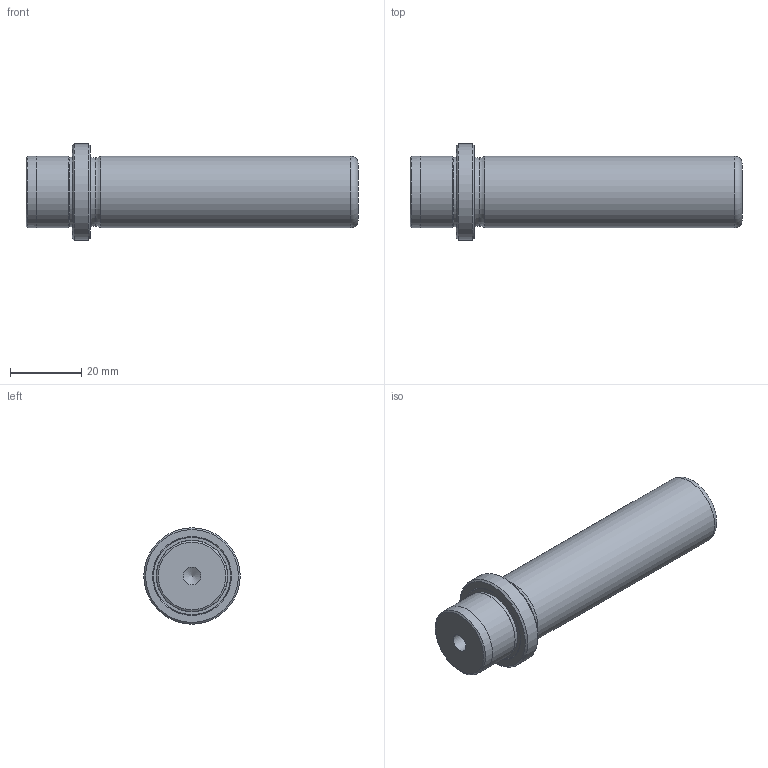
import cadquery as cq
import math

total_length = 93.0
shaft_radius = 10.0
shaft_end_radius = 2.0

lead_length = 3.0
lead_radius = 9.95
lead_chamfer_length = 0.3
lead_chamfer_depth = 0.5

flange_start = 13.0
flange_width = 5.0
flange_radius = 13.5
flange_chamfer = 0.5
flange_end = flange_start + flange_width

relief_depth = 0.3
relief_start = 11.95
relief_ramp = 0.25
relief_face_depth = 0.2
relief_face_ramp = 0.25
relief_outer_radius = 11.05
relief_floor_radius = shaft_radius - relief_depth
relief_bottom = flange_start + relief_face_depth

groove_width = 3.0
groove_depth = 0.45
groove_front_run = 1.4
groove_front_rise = 0.3
groove_back_run = groove_width - groove_front_run
groove_end = flange_end + groove_width
groove_bottom_x = flange_end + groove_front_run
groove_bottom_radius = shaft_radius - groove_depth

hole_radius = 2.5
hole_depth = 16.0
drill_point_angle = 118.0


def height_at_half_run(run, rise):
    """Height, half way along, of an arc that starts parallel to the axis and climbs by rise over run."""
    arc_radius = (run**2 + rise**2) / (2 * rise)
    return arc_radius - math.sqrt(arc_radius**2 - (run / 2) ** 2)


def make_body():
    """Turned outer shape, revolved about X."""
    end_round_start = total_length - shaft_end_radius
    end_face_radius = shaft_radius - shaft_end_radius
    end_round_half = shaft_end_radius * math.sqrt(0.5)
    end_round_middle = (end_round_start + end_round_half, end_face_radius + end_round_half)
    groove_bottom = (groove_bottom_x, groove_bottom_radius)
    groove_front_middle = (
        groove_bottom_x - groove_front_run / 2,
        groove_bottom_radius + height_at_half_run(groove_front_run, groove_front_rise),
    )
    groove_back_middle = (
        groove_bottom_x + groove_back_run / 2,
        groove_bottom_radius + height_at_half_run(groove_back_run, groove_depth),
    )
    profile = (
        cq.Workplane("XZ")
        .moveTo(0, 0)
        .lineTo(0, lead_radius - lead_chamfer_depth)
        .lineTo(lead_chamfer_length, lead_radius)
        .lineTo(lead_length, shaft_radius)
        .lineTo(relief_start, shaft_radius)
        .lineTo(relief_start + relief_ramp, relief_floor_radius)
        .lineTo(relief_bottom, relief_floor_radius)
        .lineTo(relief_bottom, relief_outer_radius - relief_face_ramp)
        .lineTo(flange_start, relief_outer_radius)
        .lineTo(flange_start, flange_radius - flange_chamfer)
        .lineTo(flange_start + flange_chamfer, flange_radius)
        .lineTo(flange_end - flange_chamfer, flange_radius)
        .lineTo(flange_end, flange_radius - flange_chamfer)
        .lineTo(flange_end, groove_bottom_radius + groove_front_rise)
        .threePointArc(groove_front_middle, groove_bottom)
        .threePointArc(groove_back_middle, (groove_end, shaft_radius))
        .lineTo(end_round_start, shaft_radius)
        .threePointArc(end_round_middle, (total_length, end_face_radius))
        .lineTo(total_length, 0)
        .close()
    )
    return profile.revolve(360, (0, 0, 0), (1, 0, 0))


def make_hole():
    """Drilled hole volume with its conical tip, revolved about X."""
    tip_length = hole_radius / math.tan(math.radians(drill_point_angle / 2))
    profile = (
        cq.Workplane("XZ")
        .moveTo(0, 0)
        .lineTo(0, hole_radius)
        .lineTo(hole_depth, hole_radius)
        .lineTo(hole_depth + tip_length, 0)
        .close()
    )
    return profile.revolve(360, (0, 0, 0), (1, 0, 0))


result = make_body().cut(make_hole())